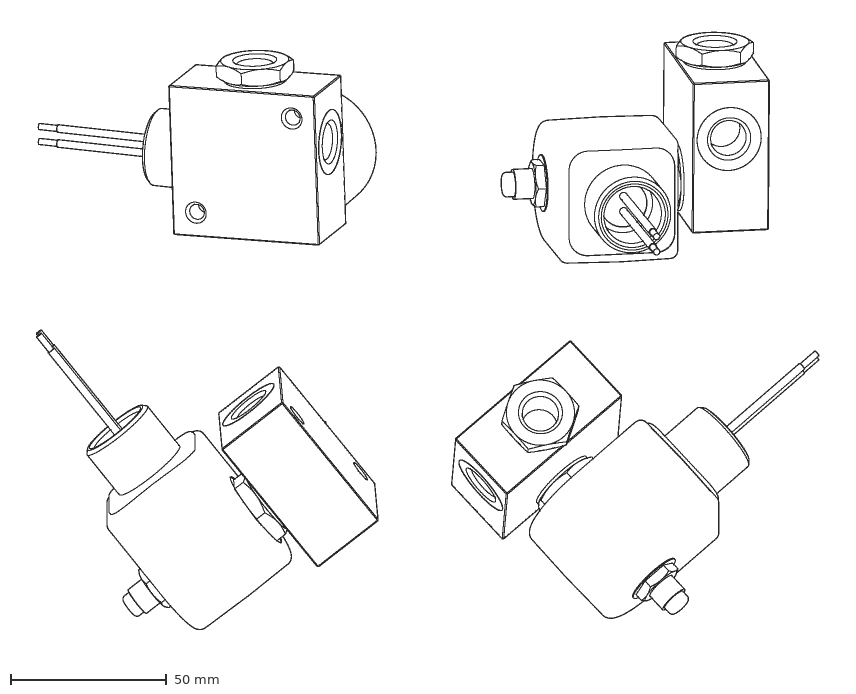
import cadquery as cq
import math

BLOCK_TILT = 2.0

BLOCK_SIDE = 50.0
BLOCK_DEPTH = 25.0
BLOCK_FRONT_Y = -49.1
BLOCK_BACK_Y = BLOCK_FRONT_Y + BLOCK_DEPTH
BLOCK_CENTER_Z = 13.0
BLOCK_TOP_Z = BLOCK_CENTER_Z + BLOCK_SIDE / 2
BLOCK_EDGE_CHAMFER = 0.3

MOUNT_HOLE_DIAMETER = 5.0
MOUNT_HOLE_MOUTH_DIAMETER = 7.1
MOUNT_HOLE_DEPTH = 9.1
MOUNT_HOLE_OFFSET = 17.0
DRILL_POINT_ANGLE = 118.0

PORT_Y = -36.0
PORT_Z = 19.0
PORT_DIAMETER = 11.6
PORT_MOUTH_DIAMETER = 14.2
PORT_DEPTH = 12.0
SPOTFACE_DIAMETER = 21.0
SPOTFACE_DEPTH = 0.1

HEX_ACROSS_FLATS = 21.9
HEX_CHAMFER_ANGLE = 30.0
FLAT_TO_CORNER_ANGLE = 30.0
FITTING_COLLAR_DIAMETER = 20.1
FITTING_COLLAR_HEIGHT = 1.0
FITTING_HEX_HEIGHT = 5.6
FITTING_SHANK_DIAMETER = 14.5
FITTING_SHANK_LENGTH = 9.1

COIL_RADIUS = 20.4
COIL_LEFT_X = -30.0
COIL_BACK_Y = 20.1
COIL_FRONT_Y = -18.8
COIL_DRAFT = 1.0
COIL_FILLET = 2.6
COIL_RECESS_DIAMETER = 26.7
COIL_RECESS_DEPTH = 0.3

PLATE_SIDE = 34.5
PLATE_CORNER_RADIUS = 6.0
PLATE_FACE_X = -31.4
PLATE_EDGE_FILLET = 1.1

HUB_DIAMETER = 25.0
HUB_END_X = -49.2
HUB_EDGE_CHAMFER = 1.1
HUB_BORE_DIAMETER = 18.8
HUB_MOUTH_DIAMETER = 21.0
HUB_BORE_DEPTH = 16.0
HUB_FLOOR_DIAMETER = 15.2
HUB_FLOOR_DEPTH = 0.6

WIRE_TIP_X = -88.7
WIRE_DIAMETER = 2.5
WIRE_CORE_DIAMETER = 2.0
WIRE_BARE_LENGTH = 6.4
WIRE_SPACING = 5.0

GUIDE_COLLAR_DIAMETER = 21.7
GUIDE_COLLAR_LENGTH = 1.0
GUIDE_TUBE_DIAMETER = 13.0
STEM_DIAMETER = 9.7
STEM_SHOULDER_Y = 29.8
STEM_TIP_DIAMETER = 8.0
STEM_TIP_Y = 33.2
STEM_TIP_FILLET = 1.3

WASHER_DIAMETER = 18.3
WASHER_THICKNESS = 0.3
NUT_ACROSS_FLATS = 13.7
NUT_HEIGHT = 3.2


def cylinder_x(diameter, x_start, x_end, z=0.0):
    """Cylinder along X between two X positions."""
    plane = cq.Plane((x_start, 0, z), xDir=(0, 1, 0), normal=(1, 0, 0))
    return cq.Workplane(plane).circle(diameter / 2).extrude(x_end - x_start)


def cylinder_y(diameter, y_start, y_end):
    """Cylinder along the guide tube axis between two Y positions."""
    return cq.Workplane("XZ", origin=(0, y_start, 0)).circle(diameter / 2).extrude(y_start - y_end)


def hexagon(across_flats, height, chamfer_bottom=True, chamfer_top=True):
    """Hexagonal prism on Z = 0 with corners on X, its corners cut by turned chamfers."""
    corner_radius = across_flats / math.sqrt(3)
    flat_radius = across_flats / 2
    drop = (corner_radius - flat_radius) * math.tan(math.radians(HEX_CHAMFER_ANGLE))
    points = [(0, 0)]
    if chamfer_bottom:
        points += [(flat_radius, 0), (corner_radius, drop)]
    else:
        points += [(corner_radius, 0)]
    if chamfer_top:
        points += [(corner_radius, height - drop), (flat_radius, height)]
    else:
        points += [(corner_radius, height)]
    points += [(0, height)]
    turned = cq.Workplane("XZ").polyline(points).close().revolve(360, (0, 0), (0, 1))
    prism = cq.Workplane("XY").polygon(6, 2 * corner_radius).extrude(height)
    return prism.intersect(turned)


def tilted(body):
    """Turns a body about the guide tube axis by the block's tilt."""
    return body.rotate((0, 0, 0), (0, 1, 0), -BLOCK_TILT)


def drilled_cutter(diameter, mouth_diameter, depth, point_angle=None):
    """Hole cutter below Z = 0 with a 45 degree mouth and an optional drill point."""
    radius = diameter / 2
    mouth_radius = mouth_diameter / 2
    point = radius / math.tan(math.radians(point_angle / 2)) if point_angle else 0
    profile = cq.Workplane("XZ").moveTo(0, 0).lineTo(mouth_radius, 0)
    profile = profile.lineTo(radius, radius - mouth_radius).lineTo(radius, -depth)
    profile = profile.lineTo(0, -depth - point).close()
    return profile.revolve(360, (0, 0), (0, 1))


def side_port():
    """Cutter for a threaded port with its shallow spotface, opening toward +Z from Z = 0."""
    spotface = cq.Workplane("XY").circle(SPOTFACE_DIAMETER / 2).extrude(-SPOTFACE_DEPTH)
    bore = drilled_cutter(PORT_DIAMETER, PORT_MOUTH_DIAMETER, PORT_DEPTH)
    return spotface.union(bore.translate((0, 0, -SPOTFACE_DEPTH)))


def make_block():
    block_middle_y = BLOCK_FRONT_Y + BLOCK_DEPTH / 2
    block = cq.Workplane("XY").box(BLOCK_SIDE, BLOCK_DEPTH, BLOCK_SIDE)
    block = block.edges().chamfer(BLOCK_EDGE_CHAMFER)
    block = block.translate((0, block_middle_y, BLOCK_CENTER_Z))

    for side in (-1, 1):
        port = side_port().rotate((0, 0, 0), (0, 1, 0), side * 90)
        block = block.cut(port.translate((side * BLOCK_SIDE / 2, PORT_Y, PORT_Z)))

        mount_hole = drilled_cutter(
            MOUNT_HOLE_DIAMETER, MOUNT_HOLE_MOUTH_DIAMETER, MOUNT_HOLE_DEPTH, DRILL_POINT_ANGLE
        )
        mount_hole = mount_hole.rotate((0, 0, 0), (1, 0, 0), 90)
        hole_x = side * MOUNT_HOLE_OFFSET
        block = block.cut(mount_hole.translate((hole_x, BLOCK_FRONT_Y, BLOCK_CENTER_Z + hole_x)))

    shank_hole = cq.Workplane("XY", origin=(0, PORT_Y, BLOCK_TOP_Z))
    shank_hole = shank_hole.circle(FITTING_SHANK_DIAMETER / 2).extrude(-FITTING_SHANK_LENGTH)
    return tilted(block.cut(shank_hole))


def make_port_fitting():
    head = hexagon(HEX_ACROSS_FLATS, FITTING_HEX_HEIGHT).rotate((0, 0, 0), (0, 0, 1), FLAT_TO_CORNER_ANGLE)
    head = head.translate((0, 0, FITTING_COLLAR_HEIGHT))
    collar = cq.Workplane("XY").circle(FITTING_COLLAR_DIAMETER / 2).extrude(FITTING_COLLAR_HEIGHT)
    shank = cq.Workplane("XY").circle(FITTING_SHANK_DIAMETER / 2).extrude(-FITTING_SHANK_LENGTH)
    top = FITTING_COLLAR_HEIGHT + FITTING_HEX_HEIGHT
    bore = drilled_cutter(PORT_DIAMETER, PORT_MOUTH_DIAMETER, top + FITTING_SHANK_LENGTH)
    fitting = head.union(collar).union(shank).cut(bore.translate((0, 0, top)))
    return tilted(fitting.translate((0, PORT_Y, BLOCK_TOP_Z)))


def coil_half(end_y):
    """Half of the coil moulding, drafted from the parting plane Y = 0 to its end face."""
    plane = cq.Plane((0, 0, 0), xDir=(1, 0, 0), normal=(0, math.copysign(1, end_y), 0))
    outline = cq.Workplane(plane).moveTo(COIL_LEFT_X, -COIL_RADIUS).lineTo(0, -COIL_RADIUS)
    outline = outline.threePointArc((COIL_RADIUS, 0), (0, COIL_RADIUS))
    outline = outline.lineTo(COIL_LEFT_X, COIL_RADIUS).close()
    half = outline.extrude(abs(end_y), taper=COIL_DRAFT)
    corner_box = cq.selectors.BoxSelector(
        (COIL_LEFT_X - COIL_FILLET, end_y / 2 - COIL_FILLET, -2 * COIL_RADIUS),
        (COIL_LEFT_X + COIL_FILLET, end_y / 2 + COIL_FILLET, 2 * COIL_RADIUS),
    )
    half = half.edges(corner_box).fillet(COIL_FILLET)
    end_face = ">Y" if end_y > 0 else "<Y"
    return half.faces(end_face).edges().fillet(COIL_FILLET)


def lead_wire(z):
    wire = cylinder_x(WIRE_DIAMETER, WIRE_TIP_X + WIRE_BARE_LENGTH, PLATE_FACE_X, z=z)
    return wire.union(cylinder_x(WIRE_CORE_DIAMETER, WIRE_TIP_X, PLATE_FACE_X, z=z))


def make_coil():
    coil = coil_half(COIL_BACK_Y).union(coil_half(COIL_FRONT_Y))

    plate_plane = cq.Plane((PLATE_FACE_X, 0, 0), xDir=(0, 1, 0), normal=(1, 0, 0))
    plate = cq.Workplane(plate_plane).rect(PLATE_SIDE, PLATE_SIDE)
    plate = plate.extrude(COIL_LEFT_X - PLATE_FACE_X + COIL_FILLET)
    plate = plate.edges("|X").fillet(PLATE_CORNER_RADIUS)
    plate = plate.faces("<X").edges().fillet(PLATE_EDGE_FILLET)

    hub = cylinder_x(HUB_DIAMETER, HUB_END_X, COIL_LEFT_X)
    hub = hub.faces("<X").edges().chamfer(HUB_EDGE_CHAMFER)
    bore = drilled_cutter(HUB_BORE_DIAMETER, HUB_MOUTH_DIAMETER, HUB_BORE_DEPTH)
    bore = bore.rotate((0, 0, 0), (0, 1, 0), -90).translate((HUB_END_X, 0, 0))
    bore_floor_x = HUB_END_X + HUB_BORE_DEPTH
    floor_recess = cylinder_x(HUB_FLOOR_DIAMETER, bore_floor_x, bore_floor_x + HUB_FLOOR_DEPTH)
    coil = coil.union(plate).union(hub).cut(bore).cut(floor_recess)

    for side in (-1, 1):
        coil = coil.union(lead_wire(side * WIRE_SPACING / 2))

    guide_hole = cylinder_y(GUIDE_TUBE_DIAMETER, COIL_FRONT_Y, COIL_BACK_Y)
    recess = cylinder_y(COIL_RECESS_DIAMETER, COIL_FRONT_Y, COIL_FRONT_Y + COIL_RECESS_DEPTH)
    return coil.cut(guide_hole).cut(recess)


def make_guide_tube():
    seat_y = COIL_FRONT_Y + COIL_RECESS_DEPTH
    hex_front_y = BLOCK_BACK_Y + GUIDE_COLLAR_LENGTH
    head = hexagon(HEX_ACROSS_FLATS, seat_y - hex_front_y, chamfer_top=False)
    head = head.rotate((0, 0, 0), (0, 0, 1), FLAT_TO_CORNER_ANGLE).rotate((0, 0, 0), (1, 0, 0), -90)
    head = tilted(head.translate((0, hex_front_y, 0)))
    collar = cylinder_y(GUIDE_COLLAR_DIAMETER, BLOCK_BACK_Y, hex_front_y)
    tube = cylinder_y(GUIDE_TUBE_DIAMETER, seat_y, COIL_BACK_Y)
    stem = cylinder_y(STEM_DIAMETER, COIL_BACK_Y, STEM_SHOULDER_Y)
    tip = cylinder_y(STEM_TIP_DIAMETER, STEM_SHOULDER_Y, STEM_TIP_Y)
    tip = tip.faces(">Y").edges().fillet(STEM_TIP_FILLET)
    return head.union(collar).union(tube).union(stem).union(tip)


def make_washer():
    washer_end_y = COIL_BACK_Y + WASHER_THICKNESS
    washer = cylinder_y(WASHER_DIAMETER, COIL_BACK_Y, washer_end_y)
    return washer.cut(cylinder_y(STEM_DIAMETER, COIL_BACK_Y, washer_end_y))


def make_coil_nut():
    nut_start_y = COIL_BACK_Y + WASHER_THICKNESS
    nut_end_y = nut_start_y + NUT_HEIGHT
    nut = hexagon(NUT_ACROSS_FLATS, NUT_HEIGHT, chamfer_bottom=False)
    nut = nut.rotate((0, 0, 0), (1, 0, 0), -90).translate((0, nut_start_y, 0))
    return nut.cut(cylinder_y(STEM_DIAMETER, nut_start_y, nut_end_y))


block = make_block()
port_fitting = make_port_fitting()
coil = make_coil()
guide_tube = make_guide_tube()
washer = make_washer()
coil_nut = make_coil_nut()

result = cq.Compound.makeCompound([
    block.val(),
    port_fitting.val(),
    coil.val(),
    guide_tube.val(),
    washer.val(),
    coil_nut.val(),
])